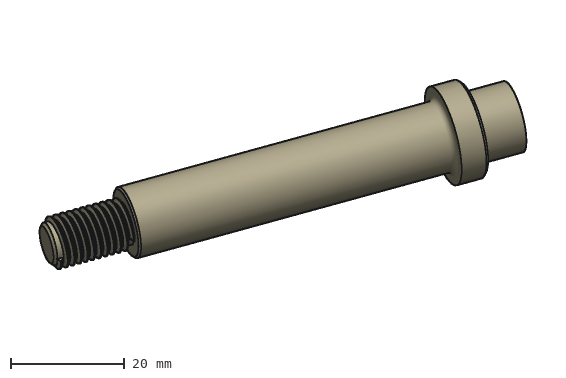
import cadquery as cq


total_length = 88.0
head_length = 8.0
head_diameter = 13.0
shank_radius = 4.0
shank_length = total_length - head_length
tip_chamfer = 0.5

thread_length = 13.7
thread_turns = 11
thread_pitch = thread_length / thread_turns
thread_height = 0.8
thread_root_width = 1.1
thread_crest_width = 0.2
thread_root_sink = 0.1
thread_tip_gap = 1.0

sleeve_length = 65.0
sleeve_radius = head_diameter / 2
collar_diameter = 18.0
collar_radius = collar_diameter / 2
collar_length = 5.2
collar_chamfer = 0.5
collar_fillet = 1.0
sleeve_end_chamfer = 0.35


def cylinder(radius, y_start, y_end):
    """Cylinder on the Y axis that runs from y_start down to y_end."""
    return cq.Workplane("XZ", origin=(0, y_start, 0)).circle(radius).extrude(y_start - y_end)


def make_thread():
    """Right-handed trapezoidal ridge, trimmed flush with the end of the sleeve."""
    helix = cq.Wire.makeHelix(thread_pitch, thread_length, shank_radius)
    root_radius = shank_radius - thread_root_sink
    crest_radius = shank_radius + thread_height
    half_root = thread_root_width / 2
    half_crest = thread_crest_width / 2
    ridge = (
        cq.Workplane("XZ")
        .moveTo(root_radius, -half_root)
        .lineTo(crest_radius, -half_crest)
        .lineTo(crest_radius, half_crest)
        .lineTo(root_radius, half_root)
        .close()
        .sweep(cq.Workplane(obj=helix), isFrenet=True)
    )
    helix_start = -shank_length + thread_tip_gap + thread_length
    ridge = ridge.rotate((0, 0, 0), (1, 0, 0), 90).translate((0, helix_start, 0))
    exposed_zone = cylinder(collar_radius, -sleeve_length, -shank_length)
    return ridge.intersect(exposed_zone)


def make_screw():
    """Cylindrical head, chamfered plain shank and threaded tip."""
    shank = cylinder(shank_radius, 0, -shank_length).faces("<Y").edges().chamfer(tip_chamfer)
    head = cylinder(head_diameter / 2, head_length, 0)
    return head.union(shank).union(make_thread())


def make_sleeve():
    """Collared tube that fits around the shank."""
    return (
        cq.Workplane("XY")
        .moveTo(shank_radius, 0)
        .lineTo(collar_radius - collar_chamfer, 0)
        .lineTo(collar_radius, -collar_chamfer)
        .lineTo(collar_radius, -collar_length)
        .lineTo(sleeve_radius + collar_fillet, -collar_length)
        .radiusArc((sleeve_radius, -collar_length - collar_fillet), -collar_fillet)
        .lineTo(sleeve_radius, -sleeve_length + sleeve_end_chamfer)
        .lineTo(sleeve_radius - sleeve_end_chamfer, -sleeve_length)
        .lineTo(shank_radius, -sleeve_length)
        .close()
        .revolve(360, (0, 0, 0), (0, 1, 0))
    )


screw = make_screw()
sleeve = make_sleeve()
result = cq.Compound.makeCompound([screw.solids().val(), sleeve.val()])